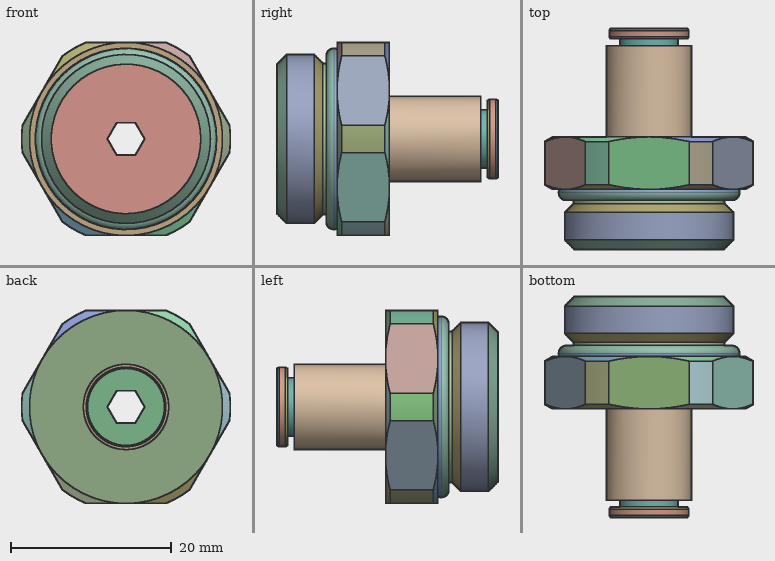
import cadquery as cq
import math

total_length = 27.5

plug_radius = 10.5
plug_chamfer = 1.2
plug_shoulder_y = 4.62
groove_radius = 9.4
groove_start_y = plug_shoulder_y + plug_radius - groove_radius

seal_outer_radius = 11.28
seal_section_radius = 1.0
seal_center_y = 7.1

hex_across_flats = 24.0
hex_corner_diameter = 26.0
hex_start_y = 7.48
hex_end_y = 14.0
hex_chamfer_angle = 30.0

body_radius = 5.3
body_end_y = 25.35
neck_radius = 3.63
collar_radius = 4.95
collar_width = 1.32
collar_chamfer_length = 0.28
collar_chamfer_depth = 0.16

socket_across_flats = 4.0


def cylinder(radius, start_y, end_y):
    """Cylinder along Y between two stations."""
    plane = cq.Workplane("XZ", origin=(0, start_y, 0))
    return plane.circle(radius).extrude(start_y - end_y)


def hex_prism(across_flats, start_y, end_y):
    """Hexagonal prism along Y, with flats facing up and down and corners on X."""
    corner_diameter = across_flats / math.cos(math.radians(30))
    plane = cq.Workplane("XZ", origin=(0, start_y, 0))
    return plane.polygon(6, corner_diameter).extrude(start_y - end_y)


def revolve_profile(points):
    """Revolve (radius, y) points about the Y axis."""
    return cq.Workplane("XY").polyline(points).close().revolve(360, (0, 0), (0, 1))


def threaded_plug():
    return revolve_profile([
        (0, 0),
        (plug_radius - plug_chamfer, 0),
        (plug_radius, plug_chamfer),
        (plug_radius, plug_shoulder_y),
        (groove_radius, groove_start_y),
        (groove_radius, hex_start_y),
        (0, hex_start_y),
    ])


def sealing_ring():
    """Round-section ring, partly sunk into the flange face."""
    section_center = (seal_outer_radius - seal_section_radius, seal_center_y)
    section = cq.Workplane("XY").center(*section_center).circle(seal_section_radius)
    axis_offset = -section_center[0]
    return section.revolve(360, (axis_offset, 0), (axis_offset, 1))


def hex_flange():
    """Hexagon with corners turned round and both ends chamfered to the flats."""
    corner_radius = hex_corner_diameter / 2
    face_radius = hex_across_flats / 2
    chamfer_depth = (corner_radius - face_radius) * math.tan(math.radians(hex_chamfer_angle))
    envelope = revolve_profile([
        (0, hex_start_y),
        (face_radius, hex_start_y),
        (corner_radius, hex_start_y + chamfer_depth),
        (corner_radius, hex_end_y - chamfer_depth),
        (face_radius, hex_end_y),
        (0, hex_end_y),
    ])
    return hex_prism(hex_across_flats, hex_start_y, hex_end_y).intersect(envelope)


def tube_connector():
    collar_start_y = total_length - collar_width
    body = cylinder(body_radius, hex_end_y, body_end_y)
    neck = cylinder(neck_radius, body_end_y, collar_start_y)
    collar = revolve_profile([
        (0, collar_start_y),
        (collar_radius - collar_chamfer_depth, collar_start_y),
        (collar_radius, collar_start_y + collar_chamfer_length),
        (collar_radius, total_length - collar_chamfer_length),
        (collar_radius - collar_chamfer_depth, total_length),
        (0, total_length),
    ])
    return body.union(neck).union(collar)


result = (
    threaded_plug()
    .union(sealing_ring())
    .union(hex_flange())
    .union(tube_connector())
    .cut(hex_prism(socket_across_flats, 0, total_length))
)